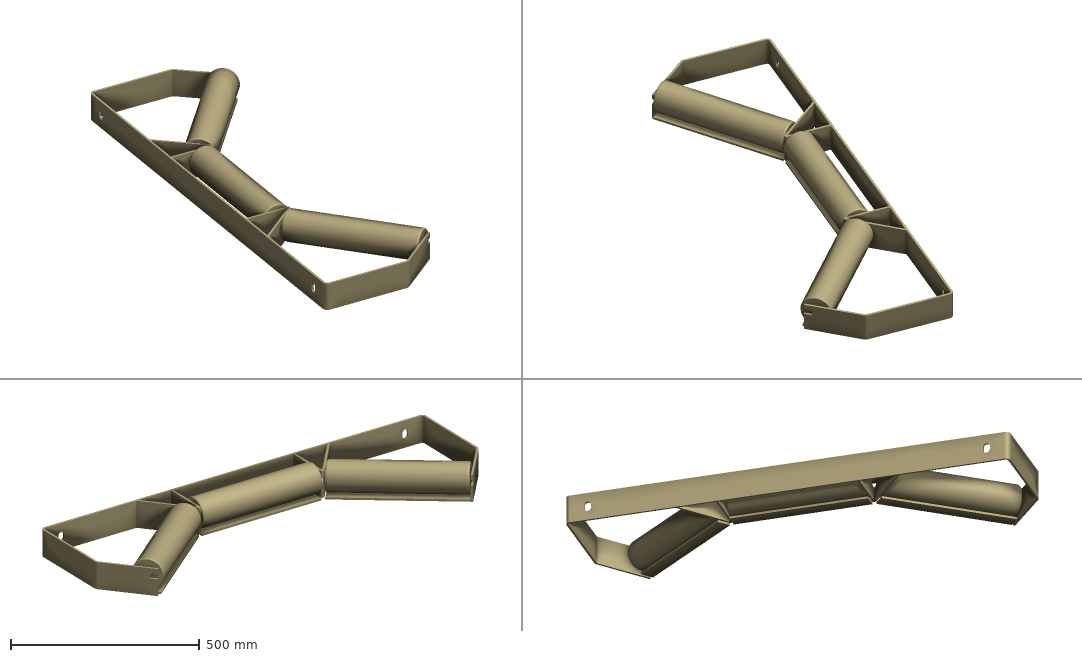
import cadquery as cq
import math

FRAME_LENGTH = 1240.0
STRIP_HEIGHT = 79.0
STRIP_THICKNESS = 6.0
BEND_RADIUS = 14.0
FRAME_TIP_Y = 387.0

MOUNT_SLOT_WIDTH = 19.0
MOUNT_SLOT_HEIGHT = 27.0
MOUNT_SLOT_X = 557.0

ROLLER_RADIUS = 45.0
ROLLER_LENGTH = 385.0
RIM_CHAMFER_LENGTH = 5.0
RIM_CHAMFER_DEPTH = 1.9
SHAFT_WIDTH = 19.0
SHAFT_HEIGHT = 15.0
CUT_OVERSHOOT = 0.6
END_GAP = 2.0

MIDDLE_Y = 100.0
MIDDLE_Z = 7.0
WING_X = -376.0
WING_Y = 234.0
WING_Z = 12.0
TROUGH_ANGLE = 40.0
LEAN_ANGLE = 1.4

BAR_WIDTH = 37.0
BAR_THICKNESS = 6.0
BAR_ROLLER_GAP = 1.9
BAR_BOTTOM = -(ROLLER_RADIUS + BAR_ROLLER_GAP + BAR_THICKNESS)
BAR_END_CLEARANCE = 1.0

BRACKET_TOP_Y = 136.0

PLATE_NEAR = ROLLER_LENGTH / 2 + END_GAP
PLATE_FAR = PLATE_NEAR + STRIP_THICKNESS

COS_TROUGH = math.cos(math.radians(TROUGH_ANGLE))
SIN_TROUGH = math.sin(math.radians(TROUGH_ANGLE))
COS_LEAN = math.cos(math.radians(LEAN_ANGLE))
SIN_LEAN = math.sin(math.radians(LEAN_ANGLE))


def wing_location(side):
    """Place of a wing roller; side is -1 for left and 1 for right. The outer end leans up."""
    axis = (COS_TROUGH * COS_LEAN, side * SIN_TROUGH * COS_LEAN, side * SIN_LEAN)
    upward = (-side * COS_TROUGH * SIN_LEAN, -SIN_TROUGH * SIN_LEAN, COS_LEAN)
    origin = (-side * WING_X, WING_Y, WING_Z)
    return cq.Location(cq.Plane(origin=origin, xDir=axis, normal=upward))


LEFT = wing_location(-1)
RIGHT = wing_location(1)
MIDDLE = cq.Location(cq.Vector(0, MIDDLE_Y, MIDDLE_Z))
ROLLER_LOCATIONS = [LEFT, MIDDLE, RIGHT]


def wing_plate_x(along, y):
    """X, at a given Y, of the left wing plate face that lies `along` its roller axis."""
    face_x = WING_X + along * COS_TROUGH
    face_y = WING_Y - along * SIN_TROUGH
    return face_x + (y - face_y) * SIN_TROUGH / COS_TROUGH


def wing_plate_y(along, x):
    """Y, at a given X, of the same plate face."""
    face_x = WING_X + along * COS_TROUGH
    face_y = WING_Y - along * SIN_TROUGH
    return face_y + (x - face_x) * COS_TROUGH / SIN_TROUGH


def extruded_plate(points):
    """Plate with the given plan outline and the height of the strip."""
    return cq.Workplane("XY").polyline(points).close().extrude(STRIP_HEIGHT / 2, both=True)


def mirrored(points):
    return [(-x, y) for x, y in reversed(points)]


def shaft_slot_cutters():
    """Cutters, in roller coordinates, for the slots at both ends of one shaft."""
    slot_length = 2 * ROLLER_RADIUS
    slot_depth = STRIP_THICKNESS + 2 * CUT_OVERSHOOT
    slot = cq.Workplane("XY").box(
        slot_depth, slot_length, SHAFT_HEIGHT, centered=(True, False, True)
    )
    plate_middle = (PLATE_NEAR + PLATE_FAR) / 2
    bottom = -SHAFT_WIDTH / 2
    return [slot.translate((end * plate_middle, bottom, 0)) for end in (-1, 1)]


def cut_shaft_slots(body):
    for location in ROLLER_LOCATIONS:
        for slot in shaft_slot_cutters():
            body = body.cut(cq.Workplane(slot.val().moved(location)))
    return body


def make_frame():
    half_length = FRAME_LENGTH / 2
    inner_x = -half_length + STRIP_THICKNESS
    tip_x = wing_plate_x(-PLATE_FAR, FRAME_TIP_Y)
    outer = [
        (tip_x, FRAME_TIP_Y),
        (-half_length, wing_plate_y(-PLATE_FAR, -half_length)),
        (-half_length, 0),
    ]
    inner = [
        (inner_x, STRIP_THICKNESS),
        (inner_x, wing_plate_y(-PLATE_NEAR, inner_x)),
        (tip_x + STRIP_THICKNESS * COS_TROUGH, FRAME_TIP_Y - STRIP_THICKNESS * SIN_TROUGH),
    ]
    frame = extruded_plate(outer + mirrored(outer) + mirrored(inner) + inner)

    for bend_x, bend_y, radius in [
        (*outer[1], BEND_RADIUS),
        (*outer[2], BEND_RADIUS),
        (*inner[0], BEND_RADIUS - STRIP_THICKNESS),
        (*inner[1], BEND_RADIUS - STRIP_THICKNESS),
    ]:
        for x in (bend_x, -bend_x):
            edge = frame.edges(cq.NearestToPointSelector((x, bend_y, 0)))
            frame = edge.fillet(radius)

    mount_slots = (
        cq.Workplane("XZ")
        .pushPoints([(-MOUNT_SLOT_X, 0), (MOUNT_SLOT_X, 0)])
        .slot2D(MOUNT_SLOT_HEIGHT, MOUNT_SLOT_WIDTH, 90)
        .extrude(-STRIP_THICKNESS)
    )
    return cut_shaft_slots(frame.cut(mount_slots))


def make_left_bracket():
    """V of a plate beside the middle roller and a plate beside the left roller."""
    foot_y = STRIP_THICKNESS
    valley_y = wing_plate_y(PLATE_FAR, -PLATE_FAR)
    bracket = extruded_plate([
        (wing_plate_x(PLATE_NEAR, foot_y), foot_y),
        (wing_plate_x(PLATE_NEAR, BRACKET_TOP_Y), BRACKET_TOP_Y),
        (-PLATE_NEAR, BRACKET_TOP_Y),
        (-PLATE_NEAR, foot_y),
        (-PLATE_FAR, foot_y),
        (-PLATE_FAR, valley_y),
        (wing_plate_x(PLATE_FAR, foot_y), foot_y),
    ])
    return cut_shaft_slots(bracket)


def make_roller(location):
    """Chamfered roller with a rectangular shaft end at each side."""
    rim_radius = ROLLER_RADIUS - RIM_CHAMFER_DEPTH
    end_x = ROLLER_LENGTH / 2
    chamfer_x = end_x - RIM_CHAMFER_LENGTH
    half_section = [
        (-end_x, 0),
        (-end_x, -rim_radius),
        (-chamfer_x, -ROLLER_RADIUS),
        (chamfer_x, -ROLLER_RADIUS),
        (end_x, -rim_radius),
        (end_x, 0),
    ]
    roller = cq.Workplane("XY").polyline(half_section).close().revolve(360, (0, 0), (1, 0))
    shaft = cq.Workplane("XY").box(2 * PLATE_FAR, SHAFT_WIDTH, SHAFT_HEIGHT)
    return roller.union(shaft).val().moved(location)


def make_bar(location):
    """Flat bar reaching back from below the roller axis, parallel to the axis."""
    bar_length = 2 * (PLATE_NEAR - BAR_END_CLEARANCE)
    bar = cq.Workplane("XY").box(
        bar_length, BAR_WIDTH, BAR_THICKNESS, centered=(True, False, False)
    )
    return bar.translate((0, 0, BAR_BOTTOM)).val().moved(location)


frame = make_frame()
left_bracket = make_left_bracket()
right_bracket = left_bracket.mirror("YZ")
rollers = [make_roller(location) for location in ROLLER_LOCATIONS]
bars = [make_bar(location) for location in ROLLER_LOCATIONS]

result = cq.Compound.makeCompound(
    [frame.val(), left_bracket.val(), right_bracket.val(), *rollers, *bars]
)